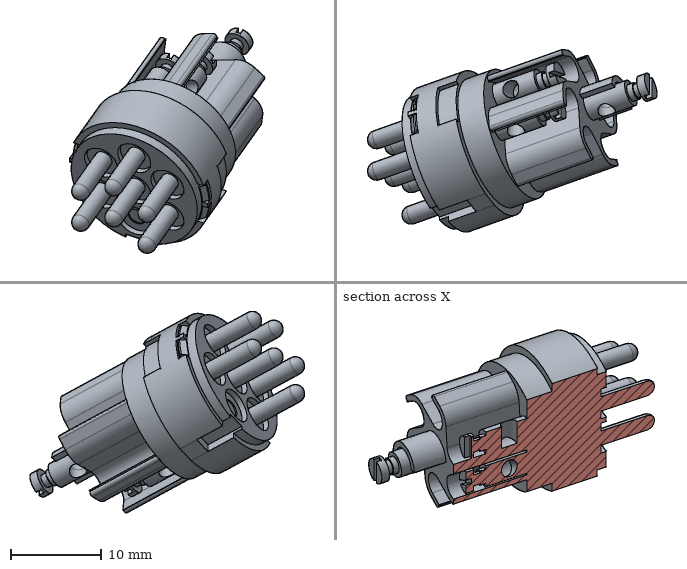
import cadquery as cq
import math


PIN_TIP_Y = -6.15
FLANGE_FRONT_Y = 1.13
FLANGE_STEP_Y = 4.63
FLANGE_REAR_Y = 6.93
COLLAR_REAR_Y = 10.15
BARREL_REAR_Y = 19.48
SLEEVE_REAR_Y = 23.5
PART_LENGTH = 33.3
PART_REAR_Y = PIN_TIP_Y + PART_LENGTH

FACE_R = 7.8
FLANGE_DIAMETER = 17.0
FLANGE_R = FLANGE_DIAMETER / 2
COLLAR_R = 7.6

POSITION_STEP = 60
POSITION_ANGLES = [POSITION_STEP * (i + 0.5) for i in range(360 // POSITION_STEP)]
EMPTY_ANGLE = 270
PIN_PITCH_R = 4.73
CUP_PITCH_R = 4.65
PIN_R = 1.03
PIN_TIP_FLAT_R = 0.003
RECESS_R = 2.03
RECESS_DEPTH = 0.65
BLANK_DEPTH = 0.15

KEY_WIDTH = 2.13
KEY_FLOOR_Z = -7.3
SIDE_HALF_HEIGHT = 2.83
SIDE_RELIEF_R = 8.03
LATCH_FRONT_Y = 1.0
LATCH_REAR_Y = 2.15
LATCH_RIB_WIDTH = 0.6
LATCH_RIDGE_HALF_HEIGHT = 2.45
LATCH_RIDGE_R = 8.4
LATCH_GROOVE_R = 8.2
LATCH_LAND_FRONT_Y = 1.73
LATCH_LAND_REAR_Y = 1.93

CUP_OUTER_R = 2.4
CUP_INNER_R = 1.65
MOUTH_TURN = -66
NEXT_CUP_TURN = -(90 + POSITION_STEP / 2)
LIP_LENGTH = 1.7

TERMINAL_R = 1.5
WIRE_HOLE_R = 0.95
WIRE_HOLE_TURN = -60
RING_WIRE_HOLE_Y = 12.35
CENTRE_WIRE_HOLE_Y = 21.6
RING_TERMINAL_REAR_Y = 17.88
WASHER_R = 1.0
WASHER_LENGTH = 0.7
SHANK_R = 0.8
SHANK_LENGTH = 0.8
HEAD_LENGTH = 1.0
SCREW_LENGTH = WASHER_LENGTH + SHANK_LENGTH + HEAD_LENGTH
SLOT_WIDTH = 0.53
SLOT_DEPTH = 0.65

BIG = PART_LENGTH


def plane_at(y):
    """Sketch plane facing -Y, with local x along X and local y along Z."""
    return cq.Workplane(cq.Plane(origin=(0, y, 0), xDir=(1, 0, 0), normal=(0, -1, 0)))


def cylinder(radius, y_start, y_end, centre=(0, 0)):
    return plane_at(y_start).center(*centre).circle(radius).extrude(y_start - y_end)


def block(x_range, y_range, z_range):
    size = [b - a for a, b in (x_range, y_range, z_range)]
    start = (x_range[0], y_range[0], z_range[0])
    return cq.Workplane("XY").box(*size, centered=False).translate(start)


def spin(shape, angle):
    """Turn a shape about the Y axis, counterclockwise as seen from -Y."""
    return shape.rotate((0, 0, 0), (0, 1, 0), -angle)


def polar_point(radius, angle):
    """The x and z of a point at a radius and angle about the Y axis."""
    a = math.radians(angle)
    return (radius * math.cos(a), radius * math.sin(a))


def make_body():
    body = cylinder(FACE_R, 0, FLANGE_FRONT_Y)
    body = body.union(cylinder(FLANGE_R, FLANGE_FRONT_Y, FLANGE_REAR_Y))
    return body.union(cylinder(COLLAR_R, FLANGE_REAR_Y, COLLAR_REAR_Y))


def make_key_cut():
    """Key slot at the bottom, with a flat behind it joining the slot's outer corners."""
    half = KEY_WIDTH / 2
    flat_z = -math.sqrt(FLANGE_R**2 - half**2)
    slot = block((-half, half), (0, FLANGE_STEP_Y), (-BIG, KEY_FLOOR_Z))
    flat = block((-half, half), (0, FLANGE_REAR_Y), (-BIG, flat_z))
    return slot.union(flat)


def make_side_relief():
    """Shallow curved reliefs at the rear of the flange, one on each side."""
    ring = cylinder(BIG, FLANGE_STEP_Y, FLANGE_REAR_Y).cut(
        cylinder(SIDE_RELIEF_R, FLANGE_STEP_Y, FLANGE_REAR_Y)
    )
    band = block((-BIG, BIG), (0, BIG), (-SIDE_HALF_HEIGHT, SIDE_HALF_HEIGHT))
    return ring.intersect(band)


def make_latch_cut():
    """Latch notches on each side: two pockets parted by a rib, each holding a ridge."""
    pocket = cylinder(BIG, LATCH_FRONT_Y, LATCH_REAR_Y).cut(
        cylinder(FACE_R, LATCH_FRONT_Y, LATCH_REAR_Y)
    )
    ridge = (
        cq.Workplane("XY")
        .moveTo(0, LATCH_FRONT_Y)
        .lineTo(FACE_R, LATCH_FRONT_Y)
        .lineTo(LATCH_RIDGE_R, LATCH_LAND_FRONT_Y)
        .lineTo(LATCH_RIDGE_R, LATCH_LAND_REAR_Y)
        .lineTo(LATCH_GROOVE_R, LATCH_REAR_Y)
        .lineTo(0, LATCH_REAR_Y)
        .close()
        .revolve(360, (0, 0, 0), (0, 1, 0))
    )
    pocket_band = block((-BIG, BIG), (0, BIG), (-SIDE_HALF_HEIGHT, SIDE_HALF_HEIGHT))
    ridge_band = block((-BIG, BIG), (0, BIG), (-LATCH_RIDGE_HALF_HEIGHT, LATCH_RIDGE_HALF_HEIGHT))
    rib = block((-BIG, BIG), (0, BIG), (-LATCH_RIB_WIDTH / 2, LATCH_RIB_WIDTH / 2))
    return pocket.intersect(pocket_band).cut(ridge.intersect(ridge_band)).cut(rib)


def make_recess(centre):
    return cylinder(RECESS_R, 0, RECESS_DEPTH, centre)


def make_pin(centre):
    pin = cylinder(PIN_R, PIN_TIP_Y, RECESS_DEPTH, centre)
    return pin.faces("<Y").edges().fillet(PIN_R - PIN_TIP_FLAT_R)


def mouth_plane(angle, extra_turn=0):
    """Plane at a cup centre whose local x points out of the cup's mouth, turned by extra_turn."""
    x, z = polar_point(CUP_PITCH_R, angle)
    mouth_x, mouth_z = polar_point(1, angle + MOUTH_TURN + extra_turn)
    origin = (x, COLLAR_REAR_Y, z)
    x_dir = (mouth_x, 0, mouth_z)
    return cq.Workplane(cq.Plane(origin=origin, xDir=x_dir, normal=(0, -1, 0)))


def make_cup(angle):
    """Outer shape of a cup: a round with a round-ended lip beside its mouth and a flat side."""
    length = BARREL_REAR_Y - COLLAR_REAR_Y
    mouth_frame = mouth_plane(angle)
    lip_r = (CUP_OUTER_R - CUP_INNER_R) / 2
    lip = (
        mouth_frame.moveTo(0, CUP_INNER_R)
        .lineTo(LIP_LENGTH - lip_r, CUP_INNER_R)
        .threePointArc((LIP_LENGTH, CUP_INNER_R + lip_r), (LIP_LENGTH - lip_r, CUP_OUTER_R))
        .lineTo(0, CUP_OUTER_R)
        .close()
        .extrude(-length)
    )

    side_frame = mouth_plane(angle, POSITION_STEP)
    side = side_frame.rect(-CUP_PITCH_R, CUP_OUTER_R, centered=False).extrude(-length)
    return mouth_frame.circle(CUP_OUTER_R).extrude(-length).union(lip).union(side)


def make_channel(angle):
    """Round-backed cavity of a cup, open along the mouth and floored by the next cup's flat side."""
    floor = CUP_OUTER_R - CUP_PITCH_R * math.sin(math.radians(MOUTH_TURN - NEXT_CUP_TURN))
    back_r = (CUP_INNER_R - floor) / 2
    return (
        mouth_plane(angle)
        .moveTo(BIG, CUP_INNER_R)
        .lineTo(0, CUP_INNER_R)
        .threePointArc((-back_r, CUP_INNER_R - back_r), (0, floor))
        .lineTo(BIG, floor)
        .close()
        .extrude(COLLAR_REAR_Y - BARREL_REAR_Y)
    )


def make_barrel():
    barrel = cylinder(CUP_PITCH_R, COLLAR_REAR_Y, BARREL_REAR_Y)
    for angle in POSITION_ANGLES:
        barrel = barrel.union(make_cup(angle))
    for angle in POSITION_ANGLES:
        barrel = barrel.cut(make_channel(angle))
    return barrel


def make_sleeve():
    """Half sleeve shielding the upper side of the centre terminal."""
    ring = cylinder(CUP_OUTER_R, BARREL_REAR_Y, SLEEVE_REAR_Y).cut(
        cylinder(CUP_INNER_R, BARREL_REAR_Y, SLEEVE_REAR_Y)
    )
    return ring.intersect(block((-BIG, BIG), (0, BIG), (0, BIG)))


def make_terminal(base_y, rear_y, hole_y):
    """Terminal on the Y axis, with its wire hole along Z and a slotted screw."""
    washer_y = rear_y - SCREW_LENGTH
    shank_y = washer_y + WASHER_LENGTH
    head_y = shank_y + SHANK_LENGTH
    terminal = cylinder(TERMINAL_R, base_y, washer_y)
    terminal = terminal.union(cylinder(WASHER_R, washer_y, shank_y))
    terminal = terminal.union(cylinder(SHANK_R, shank_y, head_y))
    terminal = terminal.union(cylinder(TERMINAL_R, head_y, rear_y))
    half = SLOT_WIDTH / 2
    slot = block((-half, half), (rear_y - SLOT_DEPTH, rear_y), (-BIG, BIG))
    hole = cq.Workplane("XY").center(0, hole_y).circle(WIRE_HOLE_R).extrude(BIG, both=True)
    return terminal.cut(slot).cut(hole)


result = make_body().cut(make_key_cut()).cut(make_side_relief()).cut(make_latch_cut())
result = result.union(make_barrel()).union(make_sleeve())

blank = polar_point(PIN_PITCH_R, EMPTY_ANGLE)
fitted_angles = [angle for angle in POSITION_ANGLES if angle != EMPTY_ANGLE]
pin_centres = [(0, 0)] + [polar_point(PIN_PITCH_R, angle) for angle in fitted_angles]
for centre in pin_centres + [blank]:
    result = result.cut(make_recess(centre))
for centre in pin_centres:
    result = result.union(make_pin(centre))
result = result.cut(cylinder(PIN_R, RECESS_DEPTH, RECESS_DEPTH + BLANK_DEPTH, blank))

ring_terminal = make_terminal(COLLAR_REAR_Y, RING_TERMINAL_REAR_Y, RING_WIRE_HOLE_Y)
for angle in fitted_angles:
    x, z = polar_point(CUP_PITCH_R, angle)
    turn_from_z = angle + WIRE_HOLE_TURN - 90
    result = result.union(spin(ring_terminal, turn_from_z).translate((x, 0, z)))

result = result.union(make_terminal(BARREL_REAR_Y, PART_REAR_Y, CENTRE_WIRE_HOLE_Y))